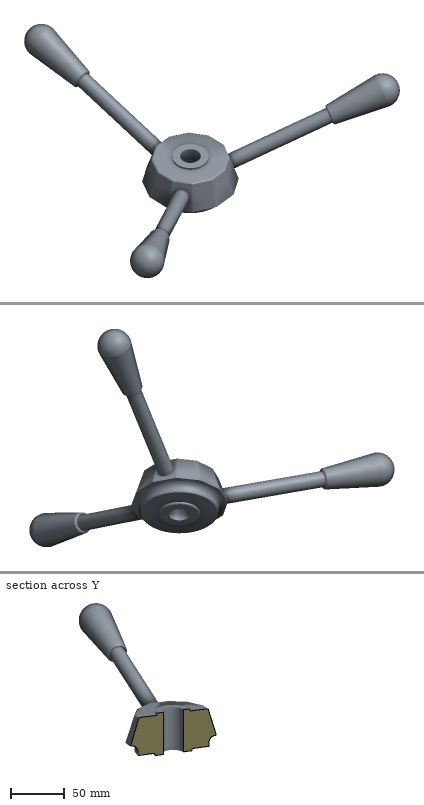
import cadquery as cq
import math

SIDES = 12
HUB_BOTTOM_FLATS = 87.0
HUB_TOP_FLATS = 70.0
HUB_BOTTOM_Z = 12.0
HUB_TOP_Z = 39.5
HUB_TOP_BREAK = 0.9

FLANGE_DIAMETER = 72.0
FLANGE_FILLET = 6.0
FLANGE_BREAK = 0.7

SPIGOT_DIAMETER = 38.0
SPIGOT_HEIGHT = 2.0
SPIGOT_BREAK = 0.7

COLLAR_DIAMETER = 34.0
COLLAR_HEIGHT = 2.0
BORE_DIAMETER = 19.3

OVERALL_WIDTH = 356.5
ARM_COUNT = 3
FIRST_ARM_ANGLE = 90
ARM_RISE = 18
ROD_DIAMETER = 15.0
ROD_START = 25.0
BALL_RADIUS = 16.0
BALL_REACH = (OVERALL_WIDTH / 2 - BALL_RADIUS) / math.sin(math.pi / ARM_COUNT)
GRIP_LENGTH = 54.5
GRIP_END_DIAMETER = 20.0
GRIP_END_BREAK = 1.0


def cylinder(diameter, bottom_z, height):
    """Vertical cylinder on the hub axis."""
    return cq.Workplane("XY").workplane(offset=bottom_z).circle(diameter / 2).extrude(height)


def twelve_sided_body():
    """Tapered body with flats facing the X and Y axes."""
    height = HUB_TOP_Z - HUB_BOTTOM_Z
    taper = math.degrees(math.atan((HUB_BOTTOM_FLATS - HUB_TOP_FLATS) / 2 / height))
    return (
        cq.Workplane("XY")
        .workplane(offset=HUB_BOTTOM_Z)
        .polygon(SIDES, HUB_BOTTOM_FLATS, circumscribed=True)
        .extrude(height, taper=taper)
        .faces(">Z")
        .chamfer(HUB_TOP_BREAK)
    )


def flange():
    """Round flange that flares out through a quarter arc to the underside of the hub."""
    radius = FLANGE_DIAMETER / 2
    flare_start_z = HUB_BOTTOM_Z - FLANGE_FILLET
    arc_offset = FLANGE_FILLET * math.sqrt(0.5)
    flare_radius = radius + FLANGE_FILLET
    arc_middle = (flare_radius - arc_offset, flare_start_z + arc_offset)
    return (
        cq.Workplane("XZ")
        .moveTo(0, SPIGOT_HEIGHT)
        .lineTo(radius - FLANGE_BREAK, SPIGOT_HEIGHT)
        .lineTo(radius, SPIGOT_HEIGHT + FLANGE_BREAK)
        .lineTo(radius, flare_start_z)
        .threePointArc(arc_middle, (flare_radius, HUB_BOTTOM_Z))
        .lineTo(0, HUB_BOTTOM_Z)
        .close()
        .revolve(360, (0, 0, 0), (0, 1, 0))
    )


def arm(angle):
    """Rod and grip turned about +X, then tilted up and swung to the given angle."""
    ball_centre = BALL_REACH / math.cos(math.radians(ARM_RISE))
    rod_radius = ROD_DIAMETER / 2
    end_radius = GRIP_END_DIAMETER / 2
    grip_start = ball_centre - GRIP_LENGTH
    arc_offset = BALL_RADIUS * math.sqrt(0.5)
    return (
        cq.Workplane("XY")
        .moveTo(ROD_START, 0)
        .lineTo(ROD_START, rod_radius)
        .lineTo(grip_start, rod_radius)
        .lineTo(grip_start, end_radius - GRIP_END_BREAK)
        .lineTo(grip_start + GRIP_END_BREAK, end_radius)
        .lineTo(ball_centre, BALL_RADIUS)
        .threePointArc((ball_centre + arc_offset, arc_offset), (ball_centre + BALL_RADIUS, 0))
        .close()
        .revolve(360, (0, 0, 0), (1, 0, 0))
        .rotate((0, 0, 0), (0, 1, 0), -ARM_RISE)
        .rotate((0, 0, 0), (0, 0, 1), angle)
        .translate((0, 0, HUB_BOTTOM_Z))
    )


spigot = cylinder(SPIGOT_DIAMETER, 0, SPIGOT_HEIGHT).faces("<Z").chamfer(SPIGOT_BREAK)

hub = (
    twelve_sided_body()
    .union(flange())
    .union(spigot)
    .union(cylinder(COLLAR_DIAMETER, HUB_TOP_Z, COLLAR_HEIGHT))
)

result = hub
for index in range(ARM_COUNT):
    result = result.union(arm(FIRST_ARM_ANGLE + index * 360 / ARM_COUNT))

result = result.cut(cylinder(BORE_DIAMETER, 0, HUB_TOP_Z + COLLAR_HEIGHT))